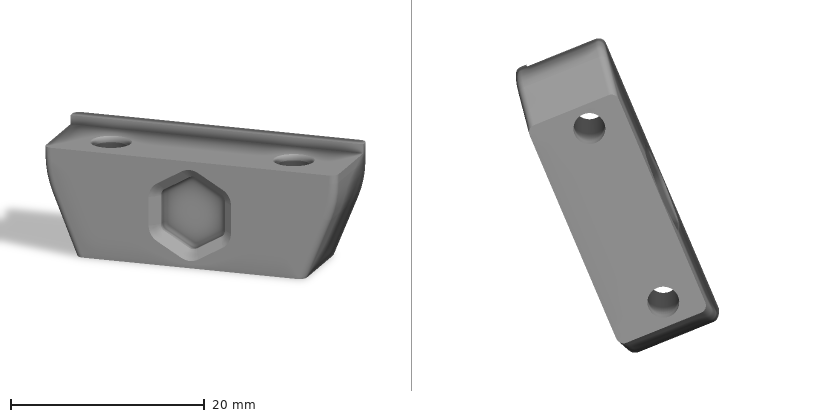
import cadquery as cq
import math

length = 32.0
depth = 10.0
height = 12.5
base_length = 25.02
edge_radius = 0.8

corner_height = 8.5
bend_radius = 10.8

lip_height = 1.0
lip_thickness = 1.4
ledge_height = height - lip_height

hole_diameter = 3.3
hole_chamfer = 0.5
hole_spacing = 19.97
hole_y = -1.0

hex_width = 7.0
hex_corner_radius = 0.83
hex_depth = 2.0
hex_center_height = 5.7
hex_floor_radius = 0.4
hex_mouth_chamfer = 1.0

front_y = -depth / 2


def make_block():
    """Extrude the front outline and round its side edges, front and back."""
    half_top = length / 2
    half_base = base_length / 2
    slope_angle = math.atan2(half_top - half_base, corner_height)
    tangent = bend_radius * math.tan(slope_angle / 2)
    arc_center_x = half_top - bend_radius
    arc_top_z = corner_height + tangent

    def arc_point(angle):
        return (
            arc_center_x + bend_radius * math.cos(angle),
            arc_top_z - bend_radius * math.sin(angle),
        )

    def mirrored(point):
        return (-point[0], point[1])

    arc_top = (half_top, arc_top_z)
    arc_middle = arc_point(slope_angle / 2)
    arc_bottom = arc_point(slope_angle)

    outline = (
        cq.Workplane("XZ", origin=(0, depth / 2, 0))
        .moveTo(-half_base, 0)
        .lineTo(half_base, 0)
        .lineTo(*arc_bottom)
        .threePointArc(arc_middle, arc_top)
        .lineTo(half_top, height)
        .lineTo(-half_top, height)
        .lineTo(*mirrored(arc_top))
        .threePointArc(mirrored(arc_middle), mirrored(arc_bottom))
        .close()
    )
    block = outline.extrude(depth)
    side_edges = block.faces("<Y or >Y").edges("not |X")
    return side_edges.fillet(edge_radius)


def make_ledge_cut():
    """Space in front of the lip."""
    ledge_depth = depth - lip_thickness
    return (
        cq.Workplane("XY", origin=(0, front_y + ledge_depth / 2, ledge_height))
        .rect(length, ledge_depth)
        .extrude(lip_height)
    )


def make_hole(x):
    """Through hole with a 45 degree chamfer at the ledge."""
    radius = hole_diameter / 2
    profile = (
        cq.Workplane("XZ", origin=(x, hole_y, 0))
        .lineTo(radius, 0)
        .lineTo(radius, ledge_height - hole_chamfer)
        .lineTo(radius + hole_chamfer, ledge_height)
        .lineTo(0, ledge_height)
        .close()
    )
    return profile.revolve(360, (0, 0, 0), (0, 1, 0))


def hex_prism(width, corner_radius, prism_depth):
    """Hexagon with points up and down, running back from the front face."""
    return (
        cq.Workplane("XZ", origin=(0, front_y, hex_center_height))
        .transformed(rotate=(0, 0, 30))
        .polygon(6, width / math.cos(math.pi / 6))
        .extrude(-prism_depth)
        .edges("|Y")
        .fillet(corner_radius)
    )


def make_hex_pocket():
    """Straight hexagonal pocket with a rounded floor edge and a flared mouth."""
    pocket = hex_prism(hex_width, hex_corner_radius, hex_depth)
    pocket = pocket.faces(">Y").edges().fillet(hex_floor_radius)

    mouth_width = hex_width + 2 * hex_mouth_chamfer
    mouth_radius = hex_corner_radius + hex_mouth_chamfer
    mouth_face = hex_prism(mouth_width, mouth_radius, hex_depth).faces("<Y")
    mouth = (
        cq.Workplane("XZ", origin=(0, front_y, 0))
        .add(mouth_face.wires())
        .toPending()
        .extrude(-hex_mouth_chamfer, taper=45)
    )
    return pocket.union(mouth)


result = make_block().cut(make_ledge_cut())
for side in (-1, 1):
    result = result.cut(make_hole(side * hole_spacing / 2))
result = result.cut(make_hex_pocket())